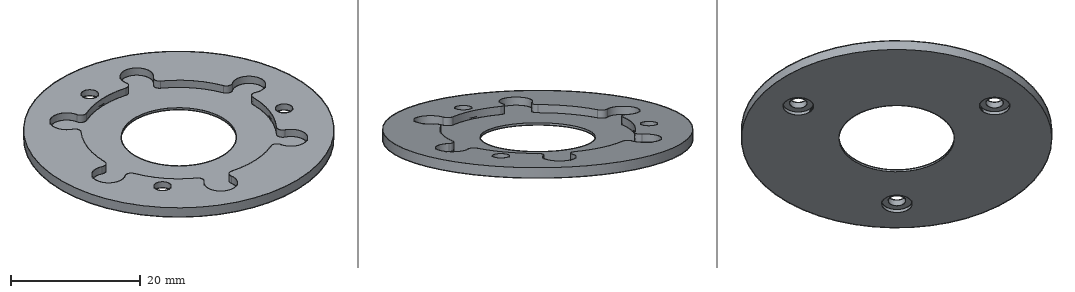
import cadquery as cq

disc_diameter = 48.0
disc_thickness = 1.7
bore_diameter = 17.8

pitch_radius = 17.5
screw_hole_diameter = 2.7
screw_head_diameter = 4.7
screw_head_depth = 0.6
screw_hole_count = 3
first_screw_angle = 90

pocket_radius = 15.1
pocket_depth = 1.3
lobe_diameter = 5.2
lobe_count = 6
neck_fillet_radius = 0.95


def make_disc():
    """Flat round disc with its underside at Z = 0."""
    return cq.Workplane("XY").circle(disc_diameter / 2).extrude(disc_thickness)


def make_pocket():
    """Round recess with evenly spaced lobes, rounded where they join its rim."""
    floor = cq.Workplane("XY").workplane(offset=disc_thickness - pocket_depth)
    recess = floor.circle(pocket_radius).extrude(pocket_depth)
    lobes = (
        floor.polarArray(pitch_radius, 0, 360, lobe_count)
        .circle(lobe_diameter / 2)
        .extrude(pocket_depth)
    )
    outline = recess.union(lobes)
    corner_edges = [
        edge
        for edge in outline.edges("|Z").vals()
        if edge.Center().toTuple()[0] ** 2 + edge.Center().toTuple()[1] ** 2 < pitch_radius**2
    ]
    return outline.newObject(corner_edges).fillet(neck_fillet_radius)


def make_bore():
    """Central through bore."""
    return cq.Workplane("XY").circle(bore_diameter / 2).extrude(disc_thickness)


def make_screw_cylinders(diameter, height):
    """One upright cylinder at each screw position, rising from the underside."""
    return (
        cq.Workplane("XY")
        .polarArray(pitch_radius, first_screw_angle, 360, screw_hole_count)
        .circle(diameter / 2)
        .extrude(height)
    )


def make_screw_holes():
    """Through holes counterbored from the underside for the screw heads."""
    shanks = make_screw_cylinders(screw_hole_diameter, disc_thickness)
    heads = make_screw_cylinders(screw_head_diameter, screw_head_depth)
    return shanks.union(heads)


result = make_disc().cut(make_pocket()).cut(make_bore()).cut(make_screw_holes())